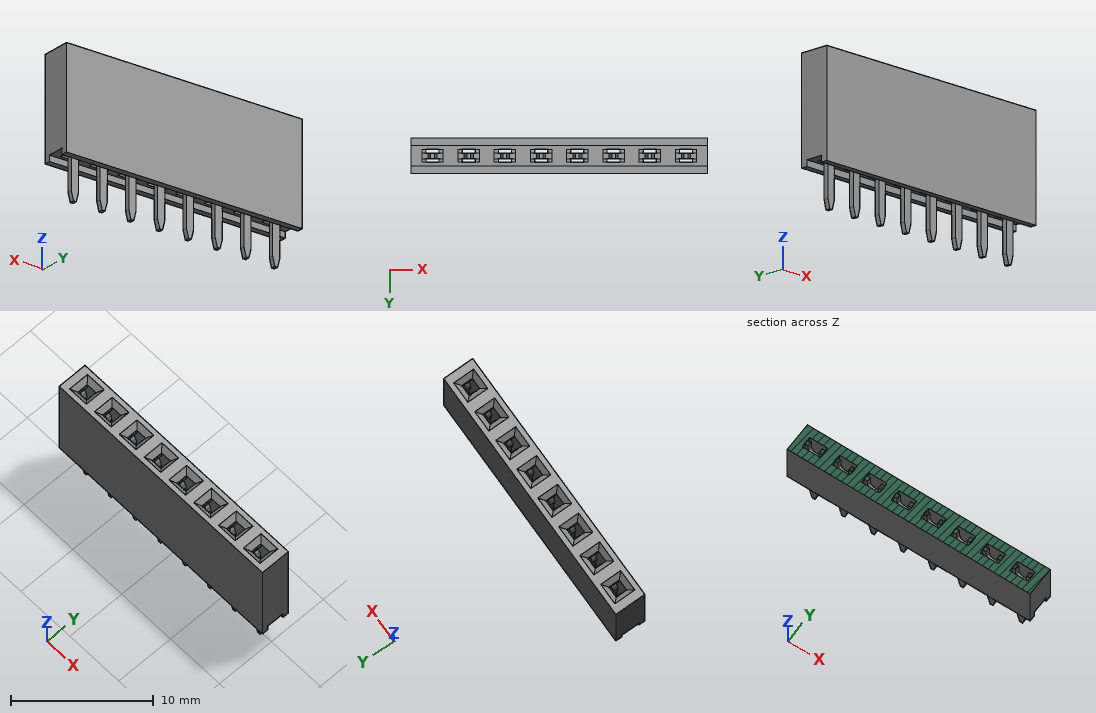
import cadquery as cq
import math

socket_count = 8
pitch = 2.55

housing_length = 20.82
housing_width = 2.5
housing_height = 8.5

channel_width = 1.45
channel_depth = 0.5

mouth_side = 1.7
throat_side = 0.9
funnel_depth = 0.44
throat_depth = 0.37
cavity_length = 1.5

contact_thickness = 0.4
contact_offset = 0.02
fork_slot_width = 0.92
fork_slot_bottom = 2.5
fork_slot_straight = 1.25
pinch_gap = 0.42
lead_in_lower_gap = 0.62
lead_in_lower_angle = 72.0
lead_in_upper_gap = 1.05
lead_in_upper_angle = 60.0
pin_width = 0.65
pin_length = 3.0
pin_tip_width = 0.25
pin_tip_length = 0.75

throat_top = housing_height - funnel_depth
cavity_top = throat_top - throat_depth
cavity_height = cavity_top - channel_depth
socket_places = [(i - (socket_count - 1) / 2) * pitch for i in range(socket_count)]


def make_socket_cutter(x):
    """Space removed from the housing for one socket."""
    funnel = (
        cq.Workplane("XY", origin=(x, 0, throat_top))
        .rect(throat_side, throat_side)
        .workplane(offset=funnel_depth)
        .rect(mouth_side, mouth_side)
        .loft(ruled=True)
    )
    throat = (
        cq.Workplane("XY", origin=(x, 0, cavity_top))
        .rect(throat_side, throat_side)
        .extrude(throat_depth)
    )
    cavity = (
        cq.Workplane("XY", origin=(x, 0, channel_depth))
        .rect(cavity_length, throat_side)
        .extrude(cavity_height)
    )
    return funnel.union(throat).union(cavity)


def make_housing():
    """Block with a channel through its underside and a row of sockets."""
    block = cq.Workplane("XY").rect(housing_length, housing_width).extrude(housing_height)
    channel = cq.Workplane("XY").rect(housing_length, channel_width).extrude(channel_depth)
    block = block.cut(channel)
    for x in socket_places:
        block = block.cut(make_socket_cutter(x))
    return block


def rise(lower_gap, upper_gap, angle):
    """Height over which a symmetric gap widens between sides at the given angle."""
    return (upper_gap - lower_gap) / 2 * math.tan(math.radians(angle))


def make_contact(x):
    """Fork that fills the length of its cavity, with a tapered pin below."""
    half_fork = cavity_length / 2
    half_slot = fork_slot_width / 2
    half_pin = pin_width / 2
    taper_top = pin_tip_length - pin_length

    arc_center = fork_slot_bottom + half_slot
    slot_straight_top = arc_center + fork_slot_straight
    lead_in_middle = cavity_top - rise(lead_in_lower_gap, lead_in_upper_gap, lead_in_upper_angle)
    pinch_height = lead_in_middle - rise(pinch_gap, lead_in_lower_gap, lead_in_lower_angle)

    outside = [
        (pin_tip_width / 2, -pin_length),
        (half_pin, taper_top),
        (half_pin, channel_depth),
        (half_fork, channel_depth),
        (half_fork, cavity_top),
    ]
    slot_side = [
        (lead_in_upper_gap / 2, cavity_top),
        (lead_in_lower_gap / 2, lead_in_middle),
        (pinch_gap / 2, pinch_height),
        (half_slot, slot_straight_top),
        (half_slot, arc_center),
    ]
    right_side = outside + slot_side
    left_side = [(-across, height) for across, height in reversed(right_side)]

    return (
        cq.Workplane("XZ", origin=(x, contact_offset, 0))
        .polyline(right_side)
        .threePointArc((0, fork_slot_bottom), left_side[0])
        .polyline(left_side[1:], includeCurrent=True)
        .close()
        .extrude(contact_thickness / 2, both=True)
    )


housing = make_housing()
contacts = [make_contact(x) for x in socket_places]

result = cq.Compound.makeCompound([housing.val(), *[contact.val() for contact in contacts]])